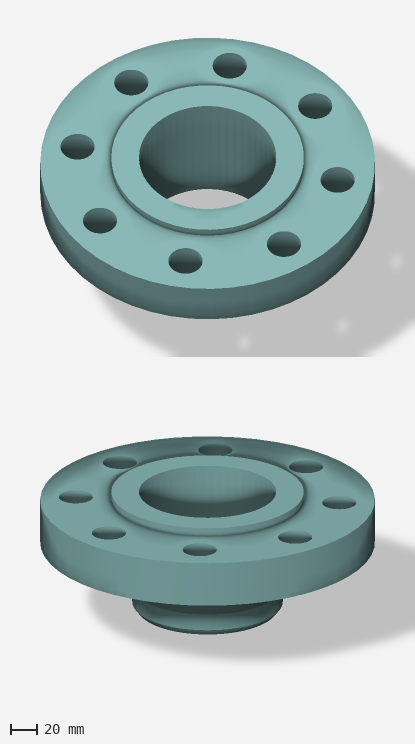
import cadquery as cq

flange_diameter = 254.0
total_height = 95.2
bore_diameter = 104.1

face_diameter = 146.0
face_height = 6.5
flange_thickness = 34.8

hub_diameter = 146.0
neck_diameter = 114.3
neck_height = 13.0
bevel_height = 5.0
bevel_end_diameter = 106.2

bolt_count = 8
bolt_circle_diameter = 200.2
bolt_hole_diameter = 26.0

neck_top = bevel_height + neck_height
flange_top = total_height - face_height
flange_bottom = flange_top - flange_thickness


def flange_body():
    """Revolve the half section, including the bore, about the Z axis."""
    bore_radius = bore_diameter / 2
    return (
        cq.Workplane("XZ")
        .moveTo(bore_radius, 0)
        .lineTo(bevel_end_diameter / 2, 0)
        .lineTo(neck_diameter / 2, bevel_height)
        .lineTo(neck_diameter / 2, neck_top)
        .lineTo(hub_diameter / 2, flange_bottom)
        .lineTo(flange_diameter / 2, flange_bottom)
        .lineTo(flange_diameter / 2, flange_top)
        .lineTo(face_diameter / 2, flange_top)
        .lineTo(face_diameter / 2, total_height)
        .lineTo(bore_radius, total_height)
        .close()
        .revolve(360, (0, 0, 0), (0, 1, 0))
    )


def bolt_holes():
    """Cylinders that cut through the flange disc at every bolt position."""
    half_pitch_angle = 180 / bolt_count
    return (
        cq.Workplane("XY", origin=(0, 0, flange_bottom))
        .polarArray(bolt_circle_diameter / 2, half_pitch_angle, 360, bolt_count)
        .circle(bolt_hole_diameter / 2)
        .extrude(flange_thickness)
    )


result = flange_body().cut(bolt_holes())